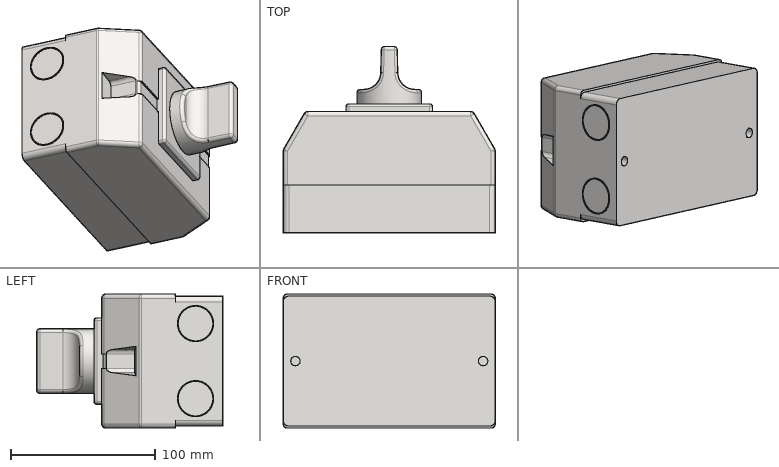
import math

import cadquery as cq


WIDTH = 147.0
BASE_HEIGHT = 90.0
SEAM_Y = 33.0
BASE_CORNER_RADIUS = 4.0

COVER_HEIGHT = 93.0
SHOULDER_Y = 57.3
COVER_TOP_Y = 84.0
BEVEL_ANGLE = 30.0
COVER_EDGE_RADIUS = 3.0

PLATE_SIZE = 60.0
PLATE_TOP_Y = 89.3
PLATE_EDGE_RADIUS = 2.0

OVERALL_DEPTH = 129.1
KNOB_RADIUS = 22.5
KNOB_RIM_Y = 99.4
GRIP_FOOT_Y = 110.9
GRIP_FOOT_HALF_WIDTH = 6.0
GRIP_TIP_HALF_WIDTH = 5.55
KNOB_EDGE_RADIUS = 2.5

HOLE_DIAMETER = 6.5
HOLE_SPACING = 130.0
HOLE_DEPTH = 10.0

KNOCKOUT_DIAMETER = 25.0
KNOCKOUT_GROOVE_WIDTH = 0.5
KNOCKOUT_GROOVE_DEPTH = 1.0
KNOCKOUT_Y = 19.0
KNOCKOUT_SPACING = 52.0

POCKET_FLOOR_END_Y = 80.7
POCKET_FLOOR_START_Y = 61.4
POCKET_FLOOR_HALF_WIDTH = 7.45
POCKET_SIDE_DRAFT = 13.0
POCKET_END_DRAFT = 6.0
POCKET_FLOOR_RADIUS = 3.0

CHANNEL_WIDTH = 10.0
CHANNEL_DEPTH = 1.0

HALF_WIDTH = WIDTH / 2
SIDES = (-1, 1)


def tan_deg(angle):
    return math.tan(math.radians(angle))


def bevel_x(y):
    """Distance of the bevelled face from the middle plane at a given Y."""
    return HALF_WIDTH - (y - SHOULDER_Y) * tan_deg(BEVEL_ANGLE)


def extruded_along_z(profile, height):
    """Extrude an XY profile symmetrically about Z = 0."""
    return profile.extrude(height / 2, both=True)


def box_between(x_min, x_max, y_min, y_max, height):
    """Box centred on Z = 0 between two X and two Y limits."""
    box = cq.Workplane("XY").box(x_max - x_min, y_max - y_min, height, centered=(False, False, True))
    return box.translate((x_min, y_min, 0))


def make_base():
    base = box_between(-HALF_WIDTH, HALF_WIDTH, 0, SEAM_Y, BASE_HEIGHT)
    return base.edges("|Y").fillet(BASE_CORNER_RADIUS)


def make_cover_block(top_y):
    """Bevelled cover with all edges rounded except those on the seam."""
    outline = cq.Workplane("XY").polyline([
        (-HALF_WIDTH, SEAM_Y),
        (HALF_WIDTH, SEAM_Y),
        (HALF_WIDTH, SHOULDER_Y),
        (bevel_x(top_y), top_y),
        (-bevel_x(top_y), top_y),
        (-HALF_WIDTH, SHOULDER_Y),
    ]).close()
    block = extruded_along_z(outline, COVER_HEIGHT)
    return block.edges("not <Y").fillet(COVER_EDGE_RADIUS)


def make_channel(side):
    """Cutter that lowers the top face and its rounded bevel edge over the channel width."""
    plate_edge = PLATE_SIZE / 2
    low, high = sorted((side * plate_edge, side * HALF_WIDTH))
    strip = box_between(low, high, SHOULDER_Y, COVER_TOP_Y, CHANNEL_WIDTH)
    return strip.cut(make_cover_block(COVER_TOP_Y - CHANNEL_DEPTH))


def make_pocket(side):
    """Drafted pocket cutter with a flat floor parallel to the side wall."""
    floor_x = bevel_x(POCKET_FLOOR_END_Y)
    depth = HALF_WIDTH - floor_x
    side_flare = depth * tan_deg(POCKET_SIDE_DRAFT)
    end_flare = depth * tan_deg(POCKET_END_DRAFT)
    length = COVER_TOP_Y - POCKET_FLOOR_START_Y
    flared_length = length + end_flare
    cutter = (
        cq.Workplane("YZ", origin=(floor_x, 0, 0))
        .center(COVER_TOP_Y - length / 2, 0)
        .rect(length, 2 * POCKET_FLOOR_HALF_WIDTH)
        .workplane(offset=depth)
        .center(-end_flare / 2, 0)
        .rect(flared_length, 2 * (POCKET_FLOOR_HALF_WIDTH + side_flare))
        .loft(ruled=True)
    )
    cutter = cutter.faces("<X").edges("|Y").fillet(POCKET_FLOOR_RADIUS)
    return cutter if side > 0 else cutter.mirror("YZ")


def make_cover():
    cover = make_cover_block(COVER_TOP_Y)
    for side in SIDES:
        cover = cover.cut(make_channel(side)).cut(make_pocket(side))
    return cover


def make_plate():
    half = PLATE_SIZE / 2
    plate = box_between(-half, half, COVER_TOP_Y, PLATE_TOP_Y, PLATE_SIZE)
    return plate.edges("not <Y").fillet(PLATE_EDGE_RADIUS)


def make_knob():
    """Round knob with a finger grip that flares into the rim through two concave arcs."""
    flare_radius = GRIP_FOOT_Y - KNOB_RIM_Y
    flare_x = GRIP_FOOT_HALF_WIDTH + flare_radius
    mid_offset = flare_radius * (1 - math.sqrt(0.5))
    mid_x = GRIP_FOOT_HALF_WIDTH + mid_offset
    mid_y = KNOB_RIM_Y + mid_offset
    outline = (
        cq.Workplane("XY")
        .moveTo(-KNOB_RADIUS, PLATE_TOP_Y)
        .lineTo(KNOB_RADIUS, PLATE_TOP_Y)
        .lineTo(KNOB_RADIUS, KNOB_RIM_Y)
        .lineTo(flare_x, KNOB_RIM_Y)
        .threePointArc((mid_x, mid_y), (GRIP_FOOT_HALF_WIDTH, GRIP_FOOT_Y))
        .lineTo(GRIP_TIP_HALF_WIDTH, OVERALL_DEPTH)
        .lineTo(-GRIP_TIP_HALF_WIDTH, OVERALL_DEPTH)
        .lineTo(-GRIP_FOOT_HALF_WIDTH, GRIP_FOOT_Y)
        .threePointArc((-mid_x, mid_y), (-flare_x, KNOB_RIM_Y))
        .lineTo(-KNOB_RADIUS, KNOB_RIM_Y)
        .close()
    )
    profile = extruded_along_z(outline, 2 * KNOB_RADIUS)
    cylinder = cq.Workplane("XZ").circle(KNOB_RADIUS).extrude(-OVERALL_DEPTH)
    knob = cylinder.intersect(profile)
    tip_edges = knob.faces(">Y").edges("|Z").vals()
    rim_edges = [
        edge for edge in knob.edges().vals()
        if edge.geomType() != "LINE" and edge.Center().y > PLATE_TOP_Y + KNOB_EDGE_RADIUS
    ]
    return knob.newObject(tip_edges + rim_edges).fillet(KNOB_EDGE_RADIUS)


def cut_mounting_holes(body):
    holes = (
        cq.Workplane("XZ")
        .pushPoints([(side * HOLE_SPACING / 2, 0) for side in SIDES])
        .circle(HOLE_DIAMETER / 2)
        .extrude(-HOLE_DEPTH)
    )
    return body.cut(holes)


def cut_knockout_rings(body):
    outer_radius = KNOCKOUT_DIAMETER / 2
    centres = [(KNOCKOUT_Y, side * KNOCKOUT_SPACING / 2) for side in SIDES]
    for side in SIDES:
        wall = cq.Workplane("YZ", origin=(side * HALF_WIDTH, 0, 0)).pushPoints(centres)
        rings = (
            wall.circle(outer_radius)
            .circle(outer_radius - KNOCKOUT_GROOVE_WIDTH)
            .extrude(-side * KNOCKOUT_GROOVE_DEPTH)
        )
        body = body.cut(rings)
    return body


body = make_base().union(make_cover()).union(make_plate()).union(make_knob())
body = cut_mounting_holes(body)
result = cut_knockout_rings(body)